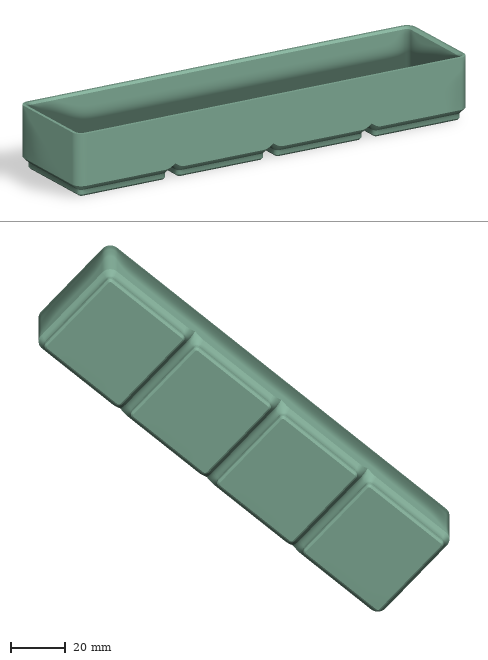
import cadquery as cq

cell_count = 4
pitch = 42.0
side_gap = 0.25
height = 25.0
body_width = pitch - 2 * side_gap
body_length = cell_count * pitch - 2 * side_gap
corner_radius = 3.75

toe_chamfer = 0.8
band_height = 1.8
flare_height = 2.15
toe_inset = toe_chamfer + flare_height
floor_height = 7.0

rim_width = 1.2
lip_chamfer = 0.8
wall = rim_width + lip_chamfer
cavity_width = body_width - 2 * wall
cavity_length = body_length - 2 * wall
cavity_radius = 1.6

DRAFT_45 = -45.0


def rounded_rect(width, length, radius, base_z):
    """Rounded rectangle centred on the Z axis at the given height."""
    outline = cq.Sketch().rect(width, length).vertices().fillet(radius)
    return cq.Workplane("XY").workplane(offset=base_z).placeSketch(outline)


def make_foot():
    """One stepped foot; its flare runs on up to the floor and is cut square at the cell edges."""
    toe_width = body_width - 2 * toe_inset
    band_width = toe_width + 2 * toe_chamfer
    toe_radius = corner_radius - toe_inset
    band_radius = toe_radius + toe_chamfer
    flare_start = toe_chamfer + band_height

    toe = rounded_rect(toe_width, toe_width, toe_radius, 0).extrude(toe_chamfer, taper=DRAFT_45)
    band = rounded_rect(band_width, band_width, band_radius, toe_chamfer).extrude(band_height)
    flare = rounded_rect(band_width, band_width, band_radius, flare_start).extrude(
        floor_height - flare_start, taper=DRAFT_45
    )
    cell = cq.Workplane("XY").box(pitch, pitch, floor_height, centered=(True, True, False))
    return toe.union(band).union(flare).intersect(cell)


def make_body():
    """Feet and upper block, trimmed to the rounded outer outline."""
    body = (
        cq.Workplane("XY")
        .workplane(offset=floor_height)
        .rect(body_width, body_length)
        .extrude(height - floor_height)
    )
    foot = make_foot()
    for index in range(cell_count):
        foot_y = (index - (cell_count - 1) / 2) * pitch
        body = body.union(foot.translate((0, foot_y, 0)))
    envelope = rounded_rect(body_width, body_length, corner_radius, 0).extrude(height)
    return body.intersect(envelope)


def make_cavity():
    """Open pocket with a 45 degree lead-in just below the rim."""
    lip_base = height - lip_chamfer
    pocket = rounded_rect(cavity_width, cavity_length, cavity_radius, floor_height).extrude(
        height - floor_height
    )
    lead_in = rounded_rect(cavity_width, cavity_length, cavity_radius, lip_base).extrude(
        lip_chamfer, taper=DRAFT_45
    )
    return pocket.union(lead_in)


result = make_body().cut(make_cavity())